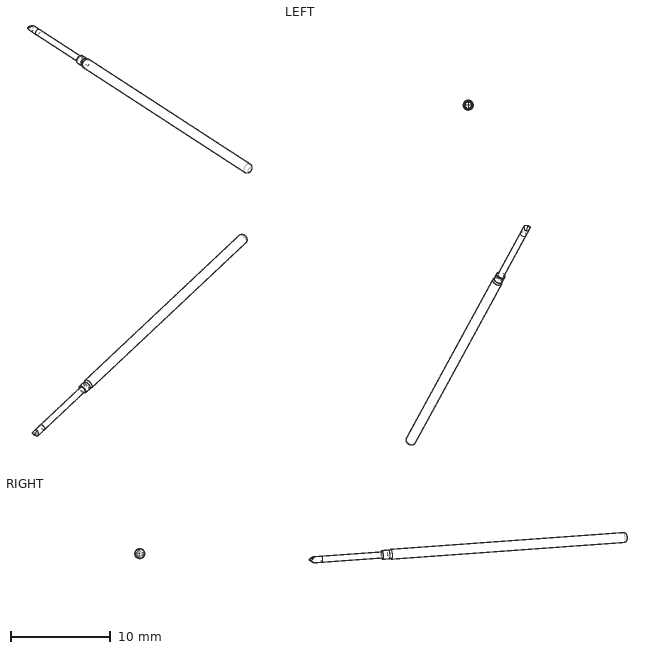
import cadquery as cq

overall_length = 33.02
tip_length = 1.32
collar_start = 7.6
neck_start = 8.28
barrel_start = 8.52
dome_length = 0.33

tip_diameter = 0.64
shaft_diameter = 0.636
collar_diameter = 0.91
end_flat_diameter = 0.46
neck_small_diameter = 0.84
neck_large_diameter = 0.97
barrel_diameter = 1.02

point_setback_y = 0.09
point_setback_z = 0.46


def cylinder(diameter, start, end):
    """Round section on the X axis between two stations."""
    return cq.Workplane("YZ", origin=(start, 0, 0)).circle(diameter / 2).extrude(end - start)


def make_barrel():
    """Barrel with a conical neck at the open end and a domed closed end with a small flat."""
    radius = barrel_diameter / 2
    profile = (
        cq.Workplane("XY")
        .moveTo(neck_start, 0)
        .lineTo(neck_start, neck_small_diameter / 2)
        .lineTo(barrel_start, neck_large_diameter / 2)
        .lineTo(barrel_start, radius)
        .lineTo(overall_length - dome_length, radius)
        .tangentArcPoint((overall_length, end_flat_diameter / 2), relative=False)
        .lineTo(overall_length, 0)
        .close()
    )
    return profile.revolve(360, (0, 0, 0), (1, 0, 0))


def make_tip():
    """Cylinder sharpened to a pyramid whose ridges lie in the XY and XZ planes."""
    radius = tip_diameter / 2
    half_width_y = radius * tip_length / point_setback_y
    half_width_z = radius * tip_length / point_setback_z
    base = [(half_width_y, 0), (0, half_width_z), (-half_width_y, 0), (0, -half_width_z)]
    apex = cq.Vector(0, 0, 0)
    corners = [cq.Vector(tip_length, y, z) for y, z in base]
    faces = [cq.Face.makeFromWires(cq.Wire.makePolygon(corners, close=True))]
    for i in range(len(corners)):
        facet = [corners[i - 1], corners[i], apex]
        faces.append(cq.Face.makeFromWires(cq.Wire.makePolygon(facet, close=True)))
    pyramid = cq.Solid.makeSolid(cq.Shell.makeShell(faces))
    return cylinder(tip_diameter, 0, tip_length).intersect(cq.Workplane(pyramid))


result = (
    make_barrel()
    .union(cylinder(collar_diameter, collar_start, neck_start))
    .union(cylinder(shaft_diameter, tip_length, collar_start))
    .union(make_tip())
)